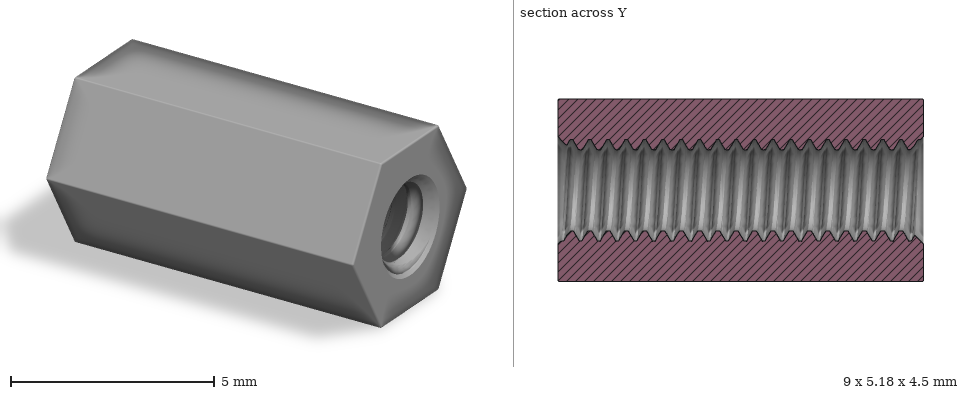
import cadquery as cq
import math

length = 9.0
across_flats = 4.5
across_corners = across_flats / math.cos(math.radians(30))
edge_radius = 0.05

pitch = 0.45
major_radius = 1.25
minor_radius = 1.0
flank_angle = 30.0
root_width = pitch / 8

countersink_radius = 1.32


def make_body():
    """Hexagonal bar with corners at +Y and -Y and all edges rounded."""
    bar = cq.Workplane("YZ").polygon(6, across_corners).extrude(length / 2, both=True)
    return bar.edges().fillet(edge_radius)


def polar(radius, angle):
    """Point in the cross-section, with the angle in degrees from +Y towards +Z."""
    return radius * math.cos(math.radians(angle)), radius * math.sin(math.radians(angle))


def make_thread_turn():
    """Air inside one turn of the thread, made by twisting its cross-section along X.

    One turn of the cross-section holds one pitch of the thread: an arc at the
    root, an arc at the crest and a spiral flank between them on each side.
    """
    flank_width = (major_radius - minor_radius) * math.tan(math.radians(flank_angle))
    root_end = 360 * (root_width / 2) / pitch
    crest_start = root_end + 360 * flank_width / pitch

    def flank(t):
        radius = major_radius + t * (minor_radius - major_radius)
        return polar(radius, root_end + t * (crest_start - root_end))

    def mirrored_flank(t):
        y, z = flank(1 - t)
        return y, -z

    section = (
        cq.Workplane("YZ")
        .moveTo(*polar(major_radius, -root_end))
        .threePointArc(polar(major_radius, 0), polar(major_radius, root_end))
        .parametricCurve(flank, makeWire=False)
        .threePointArc(polar(minor_radius, 180), polar(minor_radius, -crest_start))
        .parametricCurve(mirrored_flank, makeWire=False)
        .wire()
    )
    return section.twistExtrude(pitch, 360)


def make_threaded_core():
    """Air inside the whole thread: complete turns joined end to end.

    The core runs one turn past each end of the body. Each turn keeps its own
    helical faces; only the two outermost flat ends close the solid.
    """
    turn = make_thread_turn()
    turn_count = math.ceil(length / pitch) + 2
    core_start = -length / 2 - pitch
    sides = turn.faces("not |X")
    faces = [turn.faces("|X").faces("<X").val().translate(cq.Vector(core_start, 0, 0))]
    for index in range(turn_count):
        offset = cq.Vector(core_start + index * pitch, 0, 0)
        faces += [side.translate(offset) for side in sides.vals()]
    faces.append(turn.faces("|X").faces(">X").val().translate(offset))
    return cq.Workplane(cq.Solid.makeSolid(cq.Shell.makeShell(faces)))


def make_countersink(side):
    """Cone opening the bore at one end; side is -1 for -X and 1 for +X."""
    end = side * length / 2
    return (
        cq.Workplane("XY")
        .moveTo(end, 0)
        .lineTo(end, countersink_radius)
        .lineTo(end - side * countersink_radius, 0)
        .close()
        .revolve(360, (0, 0, 0), (1, 0, 0))
    )


result = make_body().cut(make_threaded_core(), clean=False)
for side in (-1, 1):
    result = result.cut(make_countersink(side), clean=False)
result = cq.Workplane(result.solids().val())